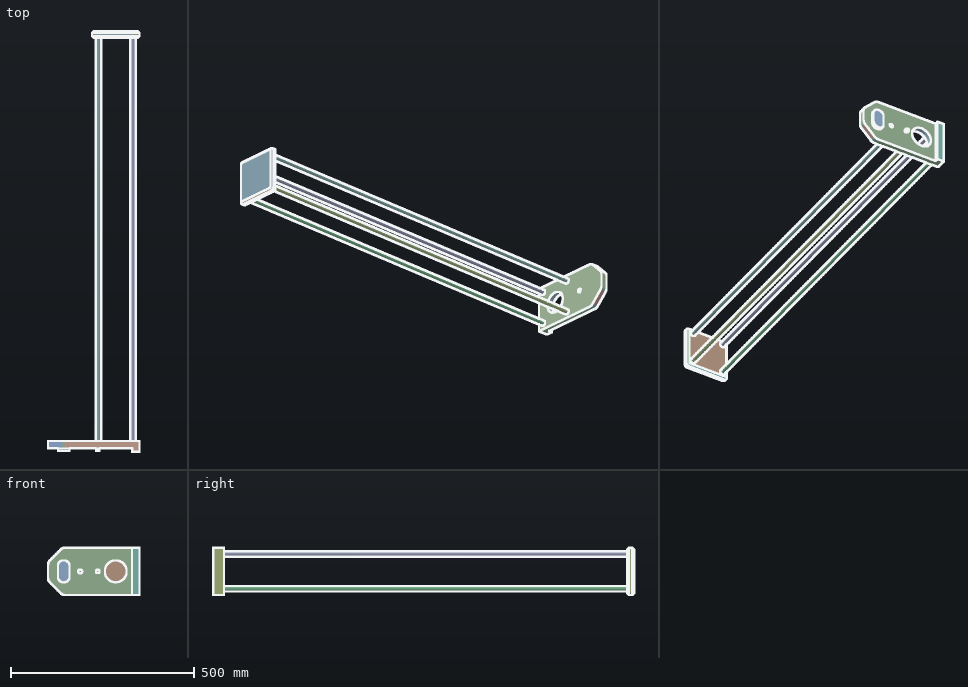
import cadquery as cq

length_x = 250.0
length_y = 1150.0
height = 130.0

front_thickness = 20.0
corner_cut = 40.0
corner_radius = 15.0
rib_width = 20.0
rib_depth = 10.0

pad_x = 43.0
pad_width = 32.0
pad_height = 60.0
pad_depth = 8.0
pad_radius = 15.0
pin_x = 136.0
pin_diameter = 10.0
pin_depth = 7.0
small_hole_x = 88.0
small_hole_diameter = 10.0
large_hole_diameter = 60.0

end_thickness = 20.0
end_side = height
end_corner_radius = 9.0
end_edge_chamfer = 6.0
end_center_x = length_x - end_side / 2

rod_diameter = 15.5
rod_spacing = 94.5

front_face_y = rib_depth
front_back_y = front_face_y + front_thickness
end_face_y = length_y - end_thickness


def sketch_plane(y):
    """XZ plane at the given Y; positive extrusion goes toward -Y."""
    return cq.Workplane("XZ", origin=(0, y, 0))


def make_front_plate():
    """Plate with the two cut, rounded corners at its low-X end."""
    half = height / 2
    outline = [
        (corner_cut, half),
        (length_x, half),
        (length_x, -half),
        (corner_cut, -half),
        (0, -half + corner_cut),
        (0, half - corner_cut),
    ]
    plate = sketch_plane(front_back_y).polyline(outline).close().extrude(front_thickness)
    cut_corners = cq.selectors.BoxSelector(
        (-corner_cut / 2, 0, -height),
        (corner_cut * 1.5, length_y, height),
    )
    return plate.edges("|Y").edges(cut_corners).fillet(corner_radius)


def make_rib():
    """Raised strip along the high-X edge of the front plate."""
    rib_center_x = length_x - rib_width / 2
    return sketch_plane(front_face_y).center(rib_center_x, 0).rect(rib_width, height).extrude(rib_depth)


def make_pad():
    """Upright pad with rounded corners on the front face."""
    pad = sketch_plane(front_face_y).center(pad_x, 0).rect(pad_width, pad_height).extrude(pad_depth)
    return pad.edges("|Y").fillet(pad_radius)


def make_pin():
    """Short round pin on the front face."""
    return sketch_plane(front_face_y).center(pin_x, 0).circle(pin_diameter / 2).extrude(pin_depth)


def make_hole_cutter(x, diameter):
    """Cylinder that passes through the front plate."""
    return sketch_plane(front_back_y).center(x, 0).circle(diameter / 2).extrude(front_thickness)


def make_end_plate():
    """Square plate with rounded corners, chamfered around both faces."""
    plate = sketch_plane(length_y).center(end_center_x, 0).rect(end_side, end_side).extrude(end_thickness)
    plate = plate.edges("|Y").fillet(end_corner_radius)
    return plate.faces("<Y or >Y").edges().chamfer(end_edge_chamfer)


def make_rods():
    """Four rods joining the front plate to the end plate."""
    return (
        sketch_plane(end_face_y)
        .center(end_center_x, 0)
        .rect(rod_spacing, rod_spacing, forConstruction=True)
        .vertices()
        .circle(rod_diameter / 2)
        .extrude(end_face_y - front_back_y)
    )


front = make_front_plate().union(make_rib()).union(make_pad()).union(make_pin())
front = front.cut(make_hole_cutter(small_hole_x, small_hole_diameter))
front = front.cut(make_hole_cutter(end_center_x, large_hole_diameter))

result = front.union(make_rods()).union(make_end_plate())